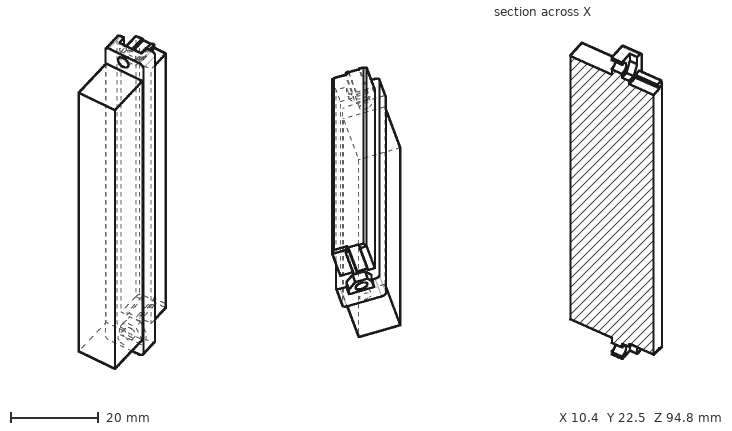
import cadquery as cq
import math

flange_width = 10.4
flange_length = 94.8
flange_thickness = 4.8
flange_corner_radius = 1.0

body_width = 10.0
body_depth = 11.2
body_length = 84.2
plug_width = 8.25
plug_depth = 6.5
plug_length = 84.75
plug_chamfer = 0.6

hole_diameter = 2.8
hole_x = -0.3
hole_inset = 2.3
pocket_corner_width = 6.0
pocket_depth = 2.0

keyway_left = -2.5
keyway_right = 0.1
keyway_depth = 0.9
shoulder_left = 0.95
shoulder_depth = 1.0

flange_front = body_depth
flange_back = flange_front + flange_thickness
plug_back = flange_back + plug_depth


def bar(width, length, front, back):
    """Bar centred on the Z axis in X and Z, spanning front to back in Y."""
    return cq.Workplane("XY").box(width, back - front, length).translate((0, (front + back) / 2, 0))


def end_notch(left, right, depth, end):
    """Cutter for a notch of the given depth in one end (+1 or -1) of the plug."""
    centre_x = (left + right) / 2
    centre_z = end * (plug_length - depth) / 2
    return (
        cq.Workplane("XY")
        .box(right - left, plug_depth, depth)
        .translate((centre_x, flange_back + plug_depth / 2, centre_z))
    )


def mounting_hole(end):
    """Through hole and nut pocket open to the rear and to the end of the flange."""
    hole_z = end * (flange_length / 2 - hole_inset)
    hole = (
        cq.Workplane("XZ", origin=(hole_x, flange_front, hole_z))
        .circle(hole_diameter / 2)
        .extrude(-flange_thickness)
    )
    half_width = pocket_corner_width / 2
    flat_z = -end * half_width * math.sqrt(3) / 2
    open_z = end * hole_inset
    pocket = (
        cq.Workplane("XZ", origin=(hole_x, flange_back - pocket_depth, hole_z))
        .moveTo(-half_width, open_z)
        .lineTo(-half_width, 0)
        .lineTo(-half_width / 2, flat_z)
        .lineTo(half_width / 2, flat_z)
        .lineTo(half_width, 0)
        .lineTo(half_width, open_z)
        .close()
        .extrude(-pocket_depth)
    )
    return hole.union(pocket)


flange = bar(flange_width, flange_length, flange_front, flange_back)
flange = flange.edges("|Y").fillet(flange_corner_radius)
body = bar(body_width, body_length, 0, flange_front)
plug = bar(plug_width, plug_length, flange_back, plug_back)
for end in (1, -1):
    plug = plug.cut(end_notch(shoulder_left, plug_width / 2, shoulder_depth, end))
plug = plug.faces(">Y").edges().chamfer(plug_chamfer)

for end in (1, -1):
    flange = flange.cut(mounting_hole(end))
    plug = plug.cut(end_notch(keyway_left, keyway_right, keyway_depth, end))

result = body.union(flange).union(plug)